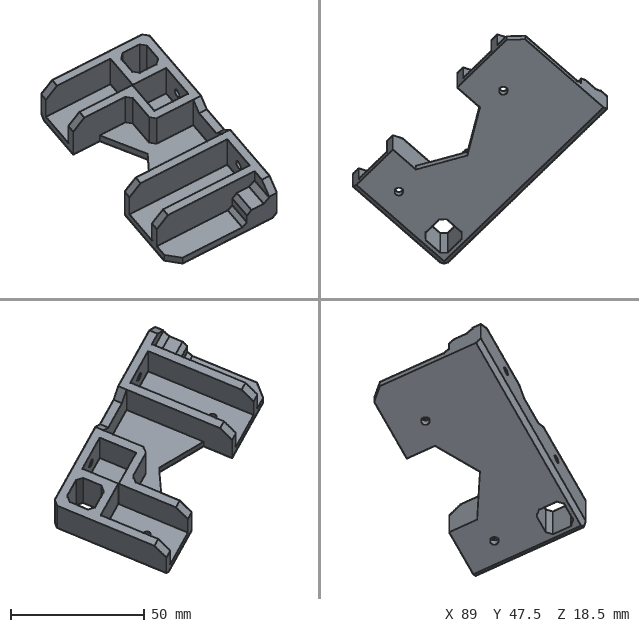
import cadquery as cq
import math

LENGTH = 89.0
DEPTH = 47.5
HEIGHT = 18.5

FLOOR = 3.5
BACK_WALL = 3.5
SMALL_CHAMFER = 2.0
LARGE_CHAMFER = 5.0

CHANNEL_OUTER = 22.0
CHANNEL_INNER = 15.3
SIDE_WALL = (CHANNEL_OUTER - CHANNEL_INNER) / 2
RIGHT_CHANNEL_X = 57.0
RIGHT_CHANNEL_END = RIGHT_CHANNEL_X + CHANNEL_OUTER
BACK_INSIDE_Y = DEPTH - BACK_WALL

POCKET_SIZE = 15.2
POCKET_X = SIDE_WALL + CHANNEL_INNER
POCKET_Y = BACK_INSIDE_Y - POCKET_SIZE
BLOCK_END_X = 37.2
POCKET_WIDTH = BLOCK_END_X - BACK_WALL - POCKET_X
BLOCK_FRONT_Y = POCKET_Y - SIDE_WALL
LEFT_CHANNEL_BACK_Y = 29.0

WINDOW_SIZE = 11.6
WINDOW_X = POCKET_X - BACK_WALL - WINDOW_SIZE
WINDOW_Y = BACK_INSIDE_Y - WINDOW_SIZE

V_APEX_Y = 22.0
V_ANGLE = 30.0

NOTCH_DEPTH = 4.0

HOLE_DIAMETER = 3.2
FLOOR_HOLE_Y = 13.5
WALL_HOLE_Z = 11.0

LEDGE_Z = 11.0
LEDGE_FRONT_Y = 34.0
LEDGE_CHAMFER = 2.0
TOP_RAMP_HEIGHT = 2.0
TOP_RAMP_RUN = 2.5
FOOT_RAMP_HEIGHT = 1.5
FOOT_RAMP_RUN = 2.1


def box(x0, x1, y0, y1, z0, z1):
    """Axis-aligned box between two corners."""
    return cq.Workplane("XY").box(x1 - x0, y1 - y0, z1 - z0, centered=False).translate((x0, y0, z0))


def prism_along_x(points, x0, x1):
    """Extrude a (y, z) outline from x0 to x1."""
    return cq.Workplane("YZ").workplane(offset=x0).polyline(points).close().extrude(x1 - x0)


def prism_along_y(points, y0, y1):
    """Extrude an (x, z) outline from y0 to y1."""
    return cq.Workplane("XZ").workplane(offset=-y1).polyline(points).close().extrude(y1 - y0)


def floor_plate():
    """Floor with a front right corner chamfer and a V cut between the channels."""
    middle_x = (CHANNEL_OUTER + RIGHT_CHANNEL_X) / 2
    v_drop = (middle_x - CHANNEL_OUTER) * math.tan(math.radians(V_ANGLE))
    outline = [
        (0, 0),
        (CHANNEL_OUTER, 0),
        (CHANNEL_OUTER, V_APEX_Y - v_drop),
        (middle_x, V_APEX_Y),
        (RIGHT_CHANNEL_X, V_APEX_Y - v_drop),
        (RIGHT_CHANNEL_X, 0),
        (LENGTH - LARGE_CHAMFER, 0),
        (LENGTH, LARGE_CHAMFER),
        (LENGTH, DEPTH),
        (0, DEPTH),
    ]
    return cq.Workplane("XY").polyline(outline).close().extrude(FLOOR)


def left_block():
    """Solid L-shaped block around the left channel and the closed pocket."""
    outline = [
        (0, 0),
        (CHANNEL_OUTER, 0),
        (CHANNEL_OUTER, BLOCK_FRONT_Y - SMALL_CHAMFER),
        (CHANNEL_OUTER + SMALL_CHAMFER, BLOCK_FRONT_Y),
        (BLOCK_END_X - SMALL_CHAMFER, BLOCK_FRONT_Y),
        (BLOCK_END_X, BLOCK_FRONT_Y + SMALL_CHAMFER),
        (BLOCK_END_X, DEPTH),
        (0, DEPTH),
    ]
    return cq.Workplane("XY").polyline(outline).close().extrude(HEIGHT)


def back_wall():
    """Wall along the back edge, lowered between the channels and chamfered at its right end."""
    outline = [
        (0, 0),
        (LENGTH, 0),
        (LENGTH, HEIGHT - LARGE_CHAMFER),
        (LENGTH - LARGE_CHAMFER, HEIGHT),
        (RIGHT_CHANNEL_X, HEIGHT),
        (RIGHT_CHANNEL_X - NOTCH_DEPTH, HEIGHT - NOTCH_DEPTH),
        (BLOCK_END_X + NOTCH_DEPTH, HEIGHT - NOTCH_DEPTH),
        (BLOCK_END_X, HEIGHT),
        (0, HEIGHT),
    ]
    return prism_along_y(outline, BACK_INSIDE_Y, DEPTH)


def stepped_ledge():
    """Ledge against the back wall, with ramps at its back and at its foot."""
    outline = [
        (BACK_INSIDE_Y, 0),
        (BACK_INSIDE_Y, LEDGE_Z + TOP_RAMP_HEIGHT),
        (BACK_INSIDE_Y - TOP_RAMP_RUN, LEDGE_Z),
        (LEDGE_FRONT_Y + LEDGE_CHAMFER, LEDGE_Z),
        (LEDGE_FRONT_Y, LEDGE_Z - LEDGE_CHAMFER),
        (LEDGE_FRONT_Y, FLOOR + FOOT_RAMP_HEIGHT),
        (LEDGE_FRONT_Y - FOOT_RAMP_RUN, FLOOR),
        (LEDGE_FRONT_Y - FOOT_RAMP_RUN, 0),
    ]
    return prism_along_x(outline, RIGHT_CHANNEL_END, LENGTH)


def cut_pockets(body):
    """Cut both channels, the closed pocket and the eight-sided opening."""
    channels = [(0, LEFT_CHANNEL_BACK_Y), (RIGHT_CHANNEL_X, BACK_INSIDE_Y)]
    for channel_x, back_y in channels:
        inner_x = channel_x + SIDE_WALL
        body = body.cut(box(inner_x, inner_x + CHANNEL_INNER, 0, back_y, FLOOR, HEIGHT))
    body = body.cut(box(POCKET_X, POCKET_X + POCKET_WIDTH, POCKET_Y, BACK_INSIDE_Y, FLOOR, HEIGHT))
    window = box(WINDOW_X, WINDOW_X + WINDOW_SIZE, WINDOW_Y, WINDOW_Y + WINDOW_SIZE, 0, HEIGHT)
    return body.cut(window.edges("|Z").chamfer(SMALL_CHAMFER))


def cut_holes(body):
    """Drill the channel floors and the back wall."""
    radius = HOLE_DIAMETER / 2
    left_middle = CHANNEL_OUTER / 2
    right_middle = RIGHT_CHANNEL_X + CHANNEL_OUTER / 2
    pocket_middle = POCKET_X + POCKET_WIDTH / 2
    for x in (left_middle, right_middle):
        body = body.cut(cq.Workplane("XY").center(x, FLOOR_HOLE_Y).circle(radius).extrude(FLOOR))
    for x in (pocket_middle, right_middle):
        drill = cq.Workplane("XZ").workplane(offset=-DEPTH).center(x, WALL_HOLE_Z)
        body = body.cut(drill.circle(radius).extrude(BACK_WALL))
    return body


def cut_outer_chamfers(body):
    """Bevel the front top, left bottom, back bottom and back left outer edges."""
    front_top = [(0, HEIGHT), (LARGE_CHAMFER, HEIGHT), (0, HEIGHT - LARGE_CHAMFER)]
    back_bottom = [(DEPTH, 0), (DEPTH - SMALL_CHAMFER, 0), (DEPTH, SMALL_CHAMFER)]
    left_bottom = [(0, 0), (SMALL_CHAMFER, 0), (0, SMALL_CHAMFER)]
    back_left = [(0, DEPTH), (SMALL_CHAMFER, DEPTH), (0, DEPTH - SMALL_CHAMFER)]
    body = body.cut(prism_along_x(front_top, 0, LENGTH))
    body = body.cut(prism_along_x(back_bottom, 0, LENGTH))
    body = body.cut(prism_along_y(left_bottom, 0, DEPTH))
    return body.cut(cq.Workplane("XY").polyline(back_left).close().extrude(HEIGHT))


right_block = box(RIGHT_CHANNEL_X, RIGHT_CHANNEL_END, 0, DEPTH, 0, HEIGHT)
body = floor_plate().union(left_block()).union(right_block).union(back_wall()).union(stepped_ledge())
body = cut_pockets(body)
body = cut_holes(body)
result = cut_outer_chamfers(body)